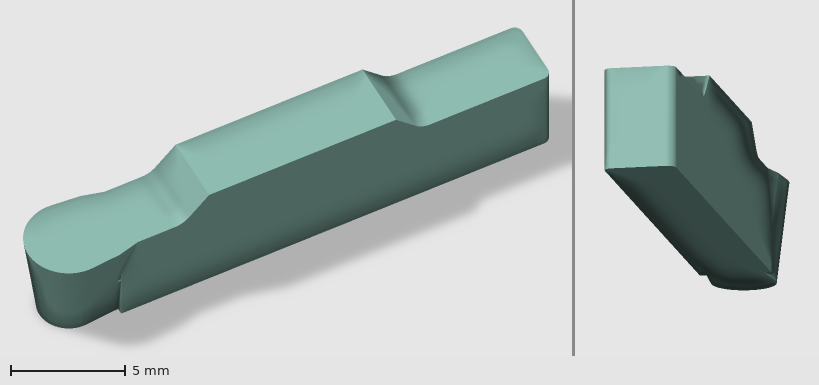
import cadquery as cq
import math

total_length = 25.05
total_height = 5.79
seat_height = 4.51

shank_width = 3.2
shank_front = 3.77
tail_corner_radius = 0.4

block_front = 8.11
block_back = 17.34
ramp_angle = 45.0
ramp_root_radius = 1.0

nose_radius = 2.0
side_angle = 5.0
neck_start = 3.56
neck_end = 4.6
neck_depth = 2.2
head_back = 6.0
relief_angle = 7.0


def make_shank():
    """Side outline of the shank, extruded across its width."""
    rise = total_height - seat_height
    ramp_run = rise / math.tan(math.radians(ramp_angle))
    ramp_front = block_front - ramp_run
    ramp_back = block_back + ramp_run
    shank = (
        cq.Workplane("YZ")
        .moveTo(shank_front, 0)
        .lineTo(total_length, 0)
        .lineTo(total_length, seat_height)
        .lineTo(ramp_back, seat_height)
        .lineTo(block_back, total_height)
        .lineTo(block_front, total_height)
        .lineTo(ramp_front, seat_height)
        .lineTo(shank_front, seat_height)
        .close()
        .extrude(shank_width / 2, both=True)
    )
    for root_y in (ramp_front, ramp_back):
        root = cq.selectors.NearestToPointSelector((0, root_y, seat_height))
        shank = shank.edges("|X").edges(root).fillet(ramp_root_radius)
    return shank.edges("|Z and >Y").fillet(tail_corner_radius)


def taper_down(right_side):
    """Round nose closed by a mirrored side path, extruded down with the relief angle.

    right_side runs from the nose tangent point to the back on the +X side.
    """
    left_side = [(-x, y) for x, y in reversed(right_side)]
    return (
        cq.Workplane("XY", origin=(0, 0, seat_height))
        .polyline(right_side + left_side)
        .threePointArc((0, 0), right_side[0])
        .close()
        .extrude(-seat_height, taper=relief_angle)
    )


def make_head():
    """Head with a flared neck above and plain straight sides below the neck."""
    angle = math.radians(side_angle)
    tangent_x = nose_radius * math.cos(angle)
    tangent_y = nose_radius + nose_radius * math.sin(angle)

    def side_point(y):
        return (tangent_x - (y - tangent_y) * math.tan(angle), y)

    nose_end = (tangent_x, tangent_y)
    shank_x = shank_width / 2
    necked = taper_down([nose_end, side_point(neck_start), (shank_x, neck_end), (shank_x, head_back)])
    straight = taper_down([nose_end, side_point(head_back)])

    below_neck = cq.Workplane("XY").box(
        2 * nose_radius, head_back, seat_height - neck_depth, centered=(True, False, False)
    )
    return necked.union(straight.intersect(below_neck))


result = make_shank().union(make_head())